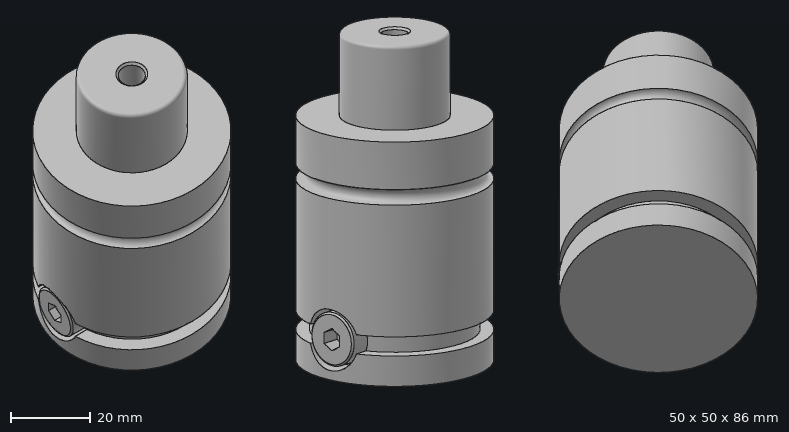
import cadquery as cq
import math

body_diameter = 50.0
body_height = 64.0
body_radius = body_diameter / 2

rod_diameter = 28.0
total_height = 86.0
rod_edge_radius = 1.0

tap_diameter = 6.8
tap_mouth_diameter = 8.0
tap_depth = 14.0
drill_point_angle = 118.0

round_groove_radius = 2.0
round_groove_height = 49.5

square_groove_bottom = 8.0
square_groove_top = 13.0
square_groove_floor_diameter = 43.0
groove_cutter_radius = body_radius + 1.0

plug_height = (square_groove_bottom + square_groove_top) / 2
seat_diameter = 16.0
seat_floor_distance = 18.0
plug_diameter = 14.0
plug_face_distance = 24.5
plug_chamfer = 0.5
hex_across_flats = 5.0
hex_depth = 5.0


def side_cylinder(diameter, start_distance, end_distance):
    """Cylinder on the plug axis between two distances from the body axis."""
    return (
        cq.Workplane("XZ", origin=(0, -start_distance, plug_height))
        .circle(diameter / 2)
        .extrude(end_distance - start_distance)
    )


def make_body():
    body = cq.Workplane("XY").circle(body_radius).extrude(body_height)
    rod = (
        cq.Workplane("XY", origin=(0, 0, body_height))
        .circle(rod_diameter / 2)
        .extrude(total_height - body_height)
        .faces(">Z")
        .edges()
        .fillet(rod_edge_radius)
    )
    return body.union(rod)


def make_round_groove():
    return (
        cq.Workplane("XZ")
        .center(body_radius, round_groove_height)
        .circle(round_groove_radius)
        .revolve(360, (-body_radius, 0), (-body_radius, 1))
    )


def make_square_groove():
    return (
        cq.Workplane("XY", origin=(0, 0, square_groove_bottom))
        .circle(groove_cutter_radius)
        .circle(square_groove_floor_diameter / 2)
        .extrude(square_groove_top - square_groove_bottom)
    )


def make_tap_hole():
    """Drilled hole with a 45 degree mouth chamfer and a conical bottom."""
    tap_radius = tap_diameter / 2
    mouth_radius = tap_mouth_diameter / 2
    shoulder = total_height - (mouth_radius - tap_radius)
    cone_base = total_height - tap_depth
    cone_tip = cone_base - tap_radius / math.tan(math.radians(drill_point_angle / 2))
    return (
        cq.Workplane("XZ")
        .moveTo(0, total_height)
        .lineTo(mouth_radius, total_height)
        .lineTo(tap_radius, shoulder)
        .lineTo(tap_radius, cone_base)
        .lineTo(0, cone_tip)
        .close()
        .revolve(360, (0, 0), (0, 1))
    )


def add_plug(part):
    """Bore the round seat and stand the plug in it, leaving a ring-shaped gap around the plug."""
    seat = side_cylinder(seat_diameter, seat_floor_distance, body_diameter)
    plug = (
        side_cylinder(plug_diameter, 0, plug_face_distance)
        .faces("<Y")
        .edges()
        .chamfer(plug_chamfer)
    )
    hex_socket = (
        cq.Workplane("XZ", origin=(0, -plug_face_distance, plug_height))
        .polygon(6, hex_across_flats, circumscribed=True)
        .extrude(-hex_depth)
    )
    return part.cut(seat).union(plug).cut(hex_socket)


result = make_body().cut(make_round_groove()).cut(make_square_groove()).cut(make_tap_hole())
result = add_plug(result)